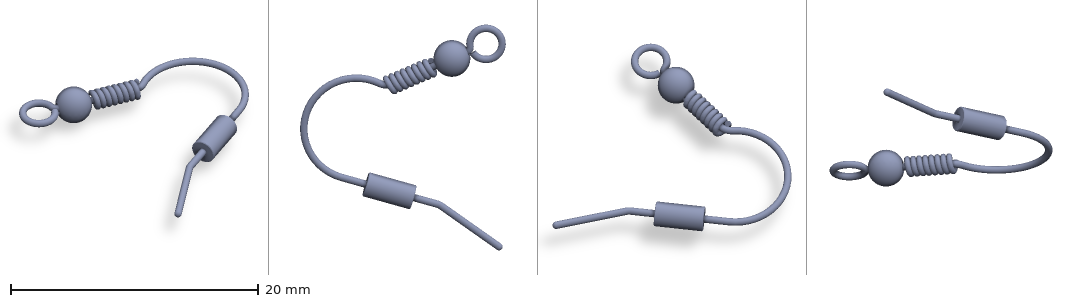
import cadquery as cq
import math


wire_diameter = 0.6
ring_inner_diameter = 2.0
ring_center_y = -3.01
ring_open_angle = 11.5
ring_stem_angle = 16.0
hook_radius = 4.25
hook_center_x = 2.25
hook_center_y = 9.45
hook_start_angle = 230.0
hook_end_angle = 40.0
arm_length = 8.02
tail_bend_radius = 1.06
tail_slope = 30.0
tail_length = 5.78

bead_diameter = 2.98
bead_hole_diameter = 1.0

sleeve_diameter = 2.0
sleeve_length = 3.98
sleeve_hole_diameter = 0.7
sleeve_chamfer = 0.05
sleeve_center_distance = 4.02

coil_wire_diameter = 0.48
coil_mean_radius = 0.61
coil_length = 3.95
coil_turns = 8
coil_bottom_y = 1.67
coil_end_angle = 135.0

arm_slope = 90.0 - hook_end_angle


def polar(radius, angle):
    """Point of the XY plane at an angle in degrees, anticlockwise from +X."""
    return cq.Vector(radius * math.cos(math.radians(angle)), radius * math.sin(math.radians(angle)), 0)


def arc(center, radius, start_angle, end_angle):
    """Circular arc in the XY plane between two angles, in either direction."""
    angles = (start_angle, (start_angle + end_angle) / 2, end_angle)
    return cq.Edge.makeThreePointArc(*[center + polar(radius, angle) for angle in angles])


def sweep_round(path, diameter):
    """Round bar along a path."""
    section = cq.Plane(origin=path.startPoint(), normal=path.tangentAt(0))
    return cq.Workplane(section).circle(diameter / 2).sweep(cq.Workplane(path), isFrenet=True).val()


hook_center = cq.Vector(hook_center_x, hook_center_y, 0)
hook_end = hook_center + polar(hook_radius, hook_end_angle)
arm_direction = polar(1, -arm_slope)


def make_ear_wire():
    ring_radius = (ring_inner_diameter + wire_diameter) / 2
    ring_center = cq.Vector(0, ring_center_y, 0)
    stem_joint_angle = 90 + ring_stem_angle
    ring = arc(ring_center, ring_radius, 90 - ring_open_angle, stem_joint_angle - 360)

    stem_joint = ring_center + polar(ring_radius, stem_joint_angle)
    lower_bend_radius = -stem_joint.x / (1 - math.sin(math.radians(ring_stem_angle)))
    lower_bend_center = stem_joint - polar(lower_bend_radius, ring_stem_angle - 90)
    lower_bend = arc(lower_bend_center, lower_bend_radius, ring_stem_angle - 90, 0)

    upper_bend_angle = hook_start_angle - 180
    hook_start = hook_center + polar(hook_radius, hook_start_angle)
    upper_bend_radius = -hook_start.x / (1 - math.cos(math.radians(upper_bend_angle)))
    upper_bend_center = hook_start - polar(upper_bend_radius, upper_bend_angle)
    upper_bend = arc(upper_bend_center, upper_bend_radius, 0, upper_bend_angle)

    stem = cq.Edge.makeLine(lower_bend.endPoint(), upper_bend.startPoint())
    hook = arc(hook_center, hook_radius, hook_start_angle, hook_end_angle)

    arm_end = hook_end + arm_direction * arm_length
    arm = cq.Edge.makeLine(hook_end, arm_end)
    tail_bend_center = arm_end + polar(tail_bend_radius, hook_end_angle)
    tail_bend_start = 180 + hook_end_angle
    tail_bend_end = tail_bend_start + arm_slope - tail_slope
    tail_bend = arc(tail_bend_center, tail_bend_radius, tail_bend_start, tail_bend_end)
    tail_end = tail_bend.endPoint() + polar(tail_length, -tail_slope)
    tail = cq.Edge.makeLine(tail_bend.endPoint(), tail_end)

    path = cq.Wire.assembleEdges([ring, lower_bend, stem, upper_bend, hook, arm, tail_bend, tail])
    rounded_tip = cq.Workplane().sphere(wire_diameter / 2).translate(tail_end).val()
    return sweep_round(path, wire_diameter).fuse(rounded_tip).Solids()[0]


def make_bead():
    hole = cq.Workplane("XZ").circle(bead_hole_diameter / 2).extrude(bead_diameter / 2, both=True)
    ball = cq.Workplane("XZ").sphere(bead_diameter / 2)
    return ball.cut(hole).val().Solids()[0]


def make_sleeve():
    start = hook_end + arm_direction * (sleeve_center_distance - sleeve_length / 2)
    section = cq.Workplane(cq.Plane(origin=start, normal=arm_direction))
    body = section.circle(sleeve_diameter / 2).extrude(sleeve_length).edges("%CIRCLE").chamfer(sleeve_chamfer)
    hole = section.circle(sleeve_hole_diameter / 2).extrude(sleeve_length)
    return body.cut(hole).val().Solids()[0]


def make_coil():
    helix = cq.Wire.makeHelix(coil_length / coil_turns, coil_length, coil_mean_radius)
    coil = sweep_round(helix, coil_wire_diameter)
    coil = coil.rotate(cq.Vector(), cq.Vector(0, 0, 1), -coil_end_angle)
    coil = coil.rotate(cq.Vector(), cq.Vector(1, 0, 0), -90)
    return coil.translate(cq.Vector(0, coil_bottom_y, 0))


ear_wire = make_ear_wire()
bead = make_bead()
sleeve = make_sleeve()
coil = make_coil().cut(ear_wire).Solids()[0]

result = cq.Compound.makeCompound([ear_wire, bead, sleeve, coil])